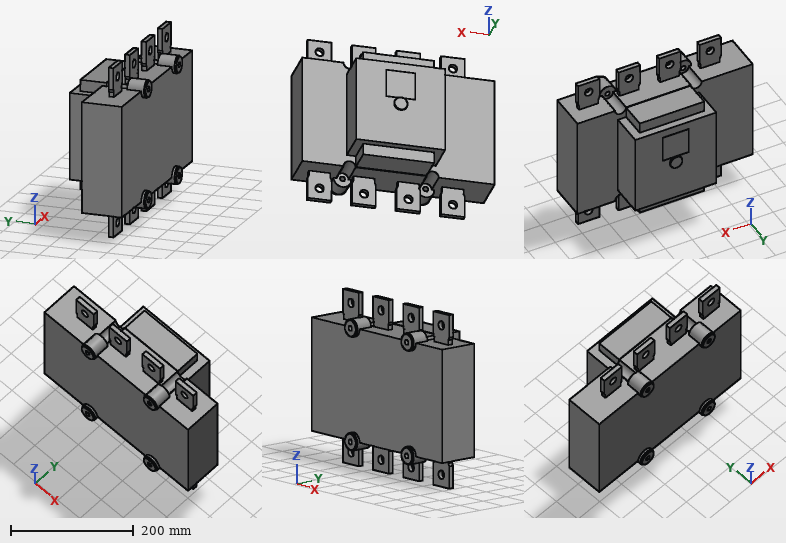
import cadquery as cq

body_width = 325.0
body_height = 189.8
body_depth = 69.5

group_x = 12.5

main_block_width = 150.0
main_block_height = 148.5
main_block_depth = 59.5
tall_block_width = 119.5
tall_block_height = 187.5
tall_block_depth = 46.5

knob_diameter = 22.0
knob_depth = 2.5
plate_depth = 0.5
plate_size = 48.5
plate_bottom_z = knob_diameter / 2

terminal_count = 4
terminal_pitch = 75.0
terminal_length = 50.0
terminal_width = 40.0
terminal_thickness = 8.5
terminal_hole_diameter = 14.0
hole_to_tip = 20.0
neck_width = 35.8
neck_length = 7.8
taper_length = 5.0

boss_pitch_x = 140.5
boss_diameter = 30.0
boss_projection = 7.5
boss_length = 32.2
boss_tip_diameter = 27.0
boss_tip_length = 3.0
boss_hole_diameter = 8.5
groove_diameter = 20.0

boss_x_places = [group_x - boss_pitch_x / 2, group_x + boss_pitch_x / 2]
boss_z_places = [-body_height / 2, body_height / 2]


def box_from(width, height, y_start, depth, x=0.0, z=0.0):
    """Block centred on (x, z) that runs back from y_start."""
    return cq.Workplane("XY").box(width, depth, height).translate((x, y_start + depth / 2, z))


def rod(diameter, y_start, length, x, z):
    """Cylinder along Y that runs back from y_start."""
    return cq.Workplane("XZ", origin=(x, y_start, z)).circle(diameter / 2).extrude(-length)


def make_terminal(x):
    """Upper terminal: a narrow neck that flares into a drilled blade."""
    base_z = body_height / 2
    taper_z = base_z + neck_length
    blade_z = taper_z + taper_length
    tip_z = base_z + terminal_length
    half_neck = neck_width / 2
    half_blade = terminal_width / 2
    y_start = (body_depth - terminal_thickness) / 2
    blade = (
        cq.Workplane("XZ", origin=(x, y_start, 0))
        .moveTo(-half_neck, base_z)
        .lineTo(half_neck, base_z)
        .lineTo(half_neck, taper_z)
        .lineTo(half_blade, blade_z)
        .lineTo(half_blade, tip_z)
        .lineTo(-half_blade, tip_z)
        .lineTo(-half_blade, blade_z)
        .lineTo(-half_neck, taper_z)
        .close()
        .extrude(-terminal_thickness)
    )
    hole_z = tip_z - hole_to_tip
    return blade.cut(rod(terminal_hole_diameter, y_start, terminal_thickness, x, hole_z))


def make_boss(x, z):
    """Round boss with a smaller front tip."""
    tip = rod(boss_tip_diameter, -boss_projection, boss_tip_length, x, z)
    barrel_start = boss_tip_length - boss_projection
    return tip.union(rod(boss_diameter, barrel_start, boss_length - boss_tip_length, x, z))


result = box_from(body_width, body_height, 0, body_depth)
result = result.union(
    box_from(main_block_width, main_block_height, body_depth, main_block_depth, group_x)
)
result = result.union(
    box_from(tall_block_width, tall_block_height, body_depth, tall_block_depth, group_x)
)

block_back_y = body_depth + main_block_depth
result = result.union(rod(knob_diameter, block_back_y, knob_depth, group_x, 0))
plate_z = plate_bottom_z + plate_size / 2
result = result.union(
    box_from(plate_size, plate_size, block_back_y, plate_depth, group_x, plate_z)
)

for index in range(terminal_count):
    terminal_x = group_x + (index - (terminal_count - 1) / 2) * terminal_pitch
    terminal = make_terminal(terminal_x)
    result = result.union(terminal).union(terminal.mirror("XY"))

boss_back_y = boss_length - boss_projection
for boss_x in boss_x_places:
    for boss_z in boss_z_places:
        result = result.cut(
            rod(groove_diameter, boss_back_y, body_depth - boss_back_y, boss_x, boss_z)
        )
        result = result.union(make_boss(boss_x, boss_z))
        result = result.cut(
            rod(boss_hole_diameter, -boss_projection, boss_length, boss_x, boss_z)
        )